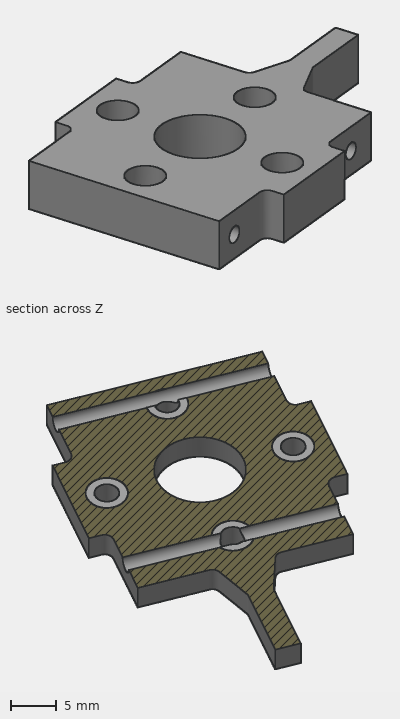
import cadquery as cq

thickness = 6.0
body_width = 25.0
body_length = 30.0
arm_span = 30.0
arm_width = 12.0
corner_radius = 1.0

handle_length = 14.0
handle_width = 3.0
flare_length = 5.0
flare_base_width = 7.0

bore_diameter = 10.0
screw_offset = 10.8
screw_diameter = 2.7
head_diameter = 4.6
head_depth = thickness / 2
cross_hole_diameter = 2.0
cross_hole_positions = (11.0, -12.0)

body_end = body_length / 2
handle_end = body_end + handle_length
flare_end = body_end + flare_length


def rounded_verticals(solid, x, y):
    """Round the vertical edges of a solid at (+x, y) and (-x, y)."""
    reach = 0.1
    for side in (-1, 1):
        selector = cq.selectors.BoxSelector(
            (side * x - reach, y - reach, -reach),
            (side * x + reach, y + reach, thickness + reach),
        )
        solid = solid.edges("|Z").edges(selector).fillet(corner_radius)
    return solid


def make_plate():
    """Cross-shaped plate with rounded inner corners."""
    plate = cq.Workplane("XY").rect(body_width, body_length).extrude(thickness)
    arms = cq.Workplane("XY").rect(arm_span, arm_width).extrude(thickness)
    plate = plate.union(arms)
    for y in (-arm_width / 2, arm_width / 2):
        plate = rounded_verticals(plate, body_width / 2, y)
    return plate


def add_handle(plate):
    """Flared handle on the +Y end, blended at both ends of the flare."""
    handle = (
        cq.Workplane("XY")
        .moveTo(-flare_base_width / 2, body_end)
        .lineTo(-handle_width / 2, flare_end)
        .lineTo(-handle_width / 2, handle_end)
        .lineTo(handle_width / 2, handle_end)
        .lineTo(handle_width / 2, flare_end)
        .lineTo(flare_base_width / 2, body_end)
        .close()
        .extrude(thickness)
    )
    part = plate.union(handle)
    part = rounded_verticals(part, flare_base_width / 2, body_end)
    return rounded_verticals(part, handle_width / 2, flare_end)


def cut_bore(part):
    """Central through bore."""
    return part.faces(">Z").workplane(origin=(0, 0, thickness)).hole(bore_diameter)


def cut_screw_holes(part):
    """Four counterbored screw holes, one on each side of the bore."""
    points = [
        (screw_offset, 0),
        (0, screw_offset),
        (-screw_offset, 0),
        (0, -screw_offset),
    ]
    return (
        part.faces(">Z")
        .workplane(origin=(0, 0, thickness))
        .pushPoints(points)
        .cboreHole(screw_diameter, head_diameter, head_depth)
    )


def cut_cross_holes(part):
    """Holes along X at mid thickness, through the body near each end."""
    for y in cross_hole_positions:
        drill = (
            cq.Workplane("YZ", origin=(-body_width / 2, 0, 0))
            .center(y, thickness / 2)
            .circle(cross_hole_diameter / 2)
            .extrude(body_width)
        )
        part = part.cut(drill)
    return part


result = add_handle(make_plate())
result = cut_bore(result)
result = cut_screw_holes(result)
result = cut_cross_holes(result)